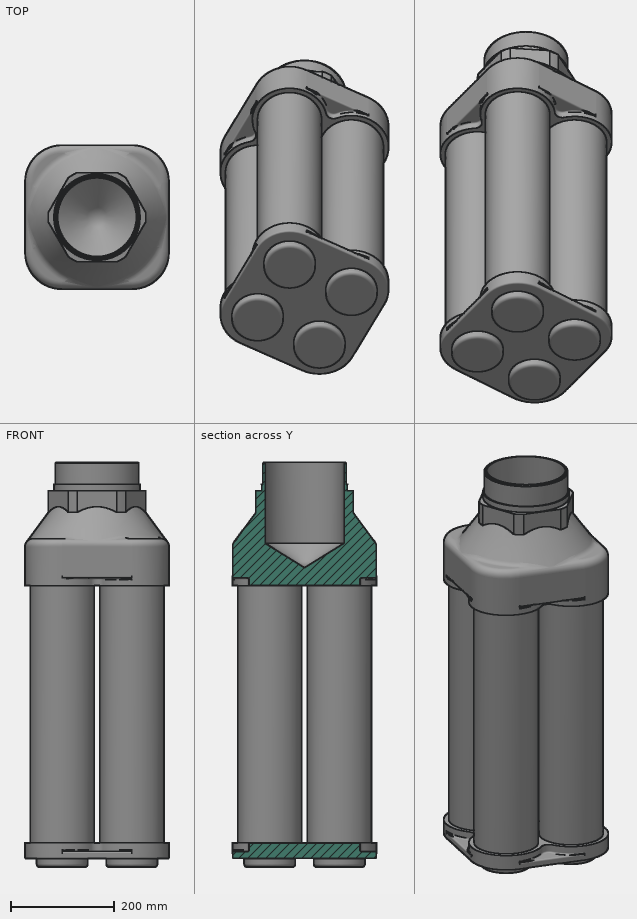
import cadquery as cq
import math

width = 280.0
height = 786.0
corner_radius = 72.0
half_width = width / 2
tube_offset = half_width - corner_radius
corners = [(x, y) for x in (-tube_offset, tube_offset) for y in (-tube_offset, tube_offset)]

base_bottom = 16.5
base_top = 47.0
base_web_top = 31.0
cap_bottom = 546.0
cap_web_bottom = 561.0
cap_top = 637.0
hex_top = 731.0
collar_top = 742.5

tube_diameter = 125.0
foot_diameter = 100.0
foot_rounding = 6.0
lobe_blend = 15.0
web_rounding = 3.0
notch_overrun = 8.0
cap_rounding = 15.0

cone_slope = 0.735
cone_blend = 15.0
cone_rim_gap = 0.4
hex_across_flats = 173.0
hex_corner_diameter = 189.0
collar_diameter = 167.0
neck_diameter = 163.0
neck_chamfer = 2.0
bore_diameter = 152.5
bore_floor = 628.5
bore_floor_depth = 47.0


def cylinder(diameter, bottom, top):
    """Upright cylinder on the Z axis."""
    return cq.Workplane("XY").workplane(offset=bottom).circle(diameter / 2).extrude(top - bottom)


def rounded_block(bottom, top):
    """Square block whose corners are concentric with the tubes."""
    block = cq.Workplane("XY").workplane(offset=bottom).rect(width, width).extrude(top - bottom)
    return block.edges("|Z").fillet(corner_radius)


def side_notch(depth):
    """Recess on the -Y side between two corner lobes, with a blended rim on its floor at Z = 0."""
    center_distance = corner_radius + lobe_blend
    blend_y = -tube_offset - math.sqrt(center_distance**2 - tube_offset**2)
    contact_x = tube_offset * lobe_blend / center_distance
    contact_y = blend_y - (blend_y + tube_offset) * lobe_blend / center_distance
    inner_y = blend_y + lobe_blend
    lobe_angle = math.radians(65)
    lobe_x = tube_offset - corner_radius * math.cos(lobe_angle)
    lobe_y = -tube_offset - corner_radius * math.sin(lobe_angle)
    outside_y = -half_width - notch_overrun
    notch = (
        cq.Workplane("XY")
        .moveTo(-tube_offset, outside_y)
        .lineTo(-tube_offset, -half_width)
        .threePointArc((-lobe_x, lobe_y), (-contact_x, contact_y))
        .threePointArc((0, inner_y), (contact_x, contact_y))
        .threePointArc((lobe_x, lobe_y), (tube_offset, -half_width))
        .lineTo(tube_offset, outside_y)
        .close()
        .extrude(depth)
    )
    return notch.faces("<Z").edges("%CIRCLE").fillet(web_rounding)


def web_edge_rounding():
    """Sliver outside the rounded outer edge of a web whose face is Z = 0 and whose body is below."""
    outside_y = -half_width - notch_overrun
    bend = web_rounding * (1 - math.sqrt(0.5))
    return (
        cq.Workplane("YZ")
        .workplane(offset=-tube_offset)
        .moveTo(web_rounding - half_width, 0)
        .threePointArc((bend - half_width, -bend), (-half_width, -web_rounding))
        .lineTo(outside_y, -web_rounding)
        .lineTo(outside_y, 0)
        .close()
        .extrude(2 * tube_offset)
    )


def side_cutters(depth):
    """Cutters for all four sides, with the web faces they leave at Z = 0."""
    cutters = []
    for turn in range(4):
        for cutter in (side_notch(depth), web_edge_rounding()):
            cutters.append(cutter.rotate((0, 0, 0), (0, 0, 1), 90 * turn))
    return cutters


def make_base():
    base = rounded_block(base_bottom, base_top).faces("<Z").edges().fillet(web_rounding)
    for cutter in side_cutters(base_top - base_web_top):
        base = base.cut(cutter.translate((0, 0, base_web_top)))
    return base


def make_cap():
    cap = rounded_block(cap_bottom, cap_top).faces(">Z").edges().fillet(cap_rounding)
    rim_angle = math.atan(cone_slope)
    cone_bottom = cap_top - cap_rounding * (1 - math.sin(rim_angle))
    bottom_radius = half_width - cap_rounding * (1 - math.cos(rim_angle)) - cone_rim_gap
    top_radius = bottom_radius - cone_slope * (hex_top - cone_bottom)
    cone = (
        cq.Workplane("XZ")
        .moveTo(0, cone_bottom)
        .lineTo(bottom_radius, cone_bottom)
        .lineTo(top_radius, hex_top)
        .lineTo(0, hex_top)
        .close()
        .revolve(360, (0, 0, 0), (0, 1, 0))
    )
    cap = cap.union(cone)
    cap = cap.faces("%CONE").edges("(not %LINE) and (not >Z)").fillet(cone_blend)
    for cutter in side_cutters(cap_web_bottom - cap_bottom):
        upturned = cutter.rotate((0, 0, 0), (1, 0, 0), 180)
        cap = cap.cut(upturned.translate((0, 0, cap_web_bottom)))
    return cap


def make_neck():
    hexagon = (
        cq.Workplane("XY")
        .workplane(offset=cap_top)
        .polygon(6, hex_across_flats, circumscribed=True)
        .extrude(hex_top - cap_top)
        .rotate((0, 0, 0), (0, 0, 1), 30)
        .intersect(cylinder(hex_corner_diameter, cap_top, hex_top))
    )
    collar = cylinder(collar_diameter, hex_top, collar_top)
    neck = cylinder(neck_diameter, collar_top, height).faces(">Z").edges().chamfer(neck_chamfer)
    return hexagon.union(collar).union(neck)


def make_bore():
    radius = bore_diameter / 2
    return (
        cq.Workplane("XZ")
        .moveTo(0, bore_floor - bore_floor_depth)
        .lineTo(radius, bore_floor)
        .lineTo(radius, height)
        .lineTo(0, height)
        .close()
        .revolve(360, (0, 0, 0), (0, 1, 0))
    )


feet = cq.Workplane("XY").pushPoints(corners).circle(foot_diameter / 2).extrude(base_bottom)
feet = feet.faces("<Z").edges().fillet(foot_rounding)
tubes = (
    cq.Workplane("XY")
    .workplane(offset=base_top)
    .pushPoints(corners)
    .circle(tube_diameter / 2)
    .extrude(cap_bottom - base_top)
)
result = make_base().union(feet).union(tubes).union(make_cap()).union(make_neck()).cut(make_bore())